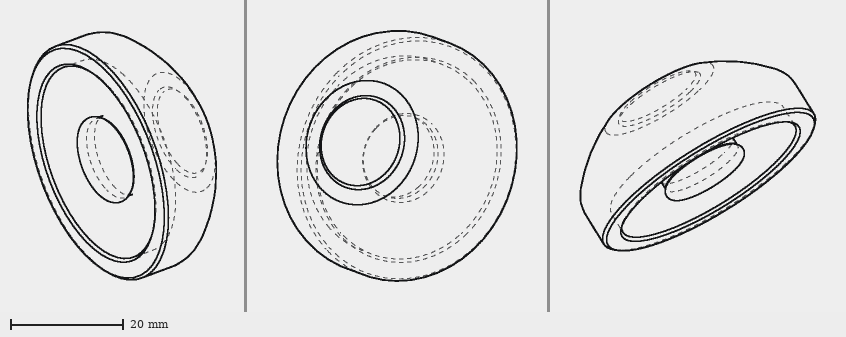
import cadquery as cq
import math


outer_radius = 22.0
edge_chamfer = 0.55
wall_end = 7.0
shoulder_radius = 5.0
dome_start = 10.15
dome_end = 18.0
back_face_radius = 11.2

pad_base_radius = 8.5
pad_top_radius = 7.88
total_depth = 18.6

recess_radius = 18.0
recess_depth = 5.0
root_fillet = 0.5
boss_radius = 7.5

button_radius = 8.0
button_thickness = 2.1
button_front = 0.95

button_back = button_front + button_thickness


def revolve_about_y(profile):
    """Turn a closed (radius, Y) profile once around the Y axis."""
    return profile.close().revolve(360, (0, 0, 0), (0, 1, 0))


def shoulder_point(angle):
    """Point on the shoulder rounding, with the angle measured from the outer wall."""
    radius = outer_radius - shoulder_radius * (1 - math.cos(angle))
    depth = wall_end + shoulder_radius * math.sin(angle)
    return radius, depth


def make_housing():
    """Domed housing with a round front recess, a central boss and a back pad."""
    shoulder_angle = math.asin((dome_start - wall_end) / shoulder_radius)
    fillet_diagonal = root_fillet * (1 - math.sqrt(0.5))
    boss_fillet_middle = (boss_radius + fillet_diagonal, recess_depth - fillet_diagonal)
    recess_fillet_middle = (recess_radius - fillet_diagonal, recess_depth - fillet_diagonal)

    profile = (
        cq.Workplane("XY")
        .moveTo(0, button_back)
        .lineTo(boss_radius, button_back)
        .lineTo(boss_radius, recess_depth - root_fillet)
        .threePointArc(boss_fillet_middle, (boss_radius + root_fillet, recess_depth))
        .lineTo(recess_radius - root_fillet, recess_depth)
        .threePointArc(recess_fillet_middle, (recess_radius, recess_depth - root_fillet))
        .lineTo(recess_radius, edge_chamfer)
        .lineTo(recess_radius + edge_chamfer, 0)
        .lineTo(outer_radius - edge_chamfer, 0)
        .lineTo(outer_radius, edge_chamfer)
        .lineTo(outer_radius, wall_end)
        .threePointArc(shoulder_point(shoulder_angle / 2), shoulder_point(shoulder_angle))
        .tangentArcPoint((back_face_radius, dome_end), relative=False)
        .lineTo(pad_base_radius, dome_end)
        .lineTo(pad_top_radius, total_depth)
        .lineTo(0, total_depth)
    )
    return revolve_about_y(profile)


def make_button():
    """Flat round button with a fully rounded rim."""
    rim_radius = button_thickness / 2
    flat_radius = button_radius - rim_radius
    profile = (
        cq.Workplane("XY")
        .moveTo(0, button_front)
        .lineTo(flat_radius, button_front)
        .threePointArc((button_radius, button_front + rim_radius), (flat_radius, button_back))
        .lineTo(0, button_back)
    )
    return revolve_about_y(profile)


housing = make_housing()
button = make_button()

result = cq.Compound.makeCompound([housing.val(), button.val()])